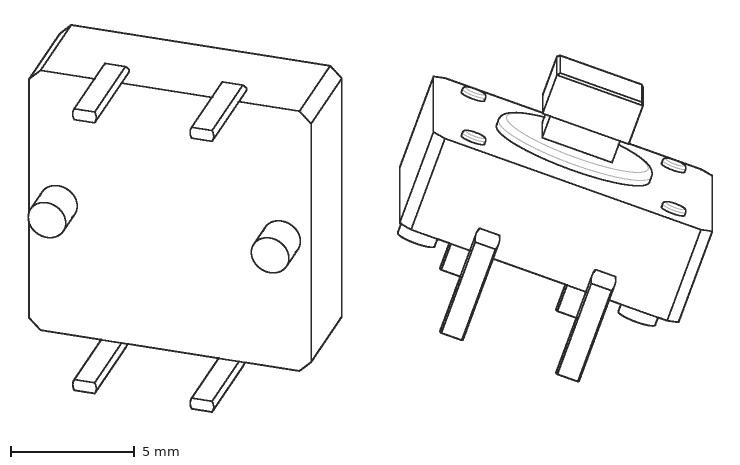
import cadquery as cq

body_size = 12.0
body_corner = 0.5
overall_height = 13.0
overall_depth = 10.8

terminal_length = 3.5
body_depth = 4.0
back_y = -overall_depth / 2 + terminal_length
face_y = back_y + body_depth
cap_top_y = overall_depth / 2

collar_diameter = 6.6
collar_height = 0.5
collar_round = 0.25
stud_diameter = 1.0
stud_height = 0.25
stud_round = 0.1
stud_offset = 4.3

cap_size = 3.7
cap_depth = 1.8
cap_chamfer = 0.1
stem_size = 3.0

peg_diameter = 1.6
peg_length = 1.5
peg_offset = 4.75

terminal_width = 1.0
terminal_thickness = (overall_height - body_size) / 2
terminal_offset = 2.5
terminal_overlap = 1.0
terminal_side_bulge = 0.06


def block(size, start_y, end_y):
    """Centred square block spanning start_y to end_y."""
    return cq.Workplane("XY").box(size, end_y - start_y, size).translate((0, (start_y + end_y) / 2, 0))


def disc(diameter, start_y, length, x=0, z=0):
    """Cylinder along +Y from start_y."""
    axis_start = cq.Vector(x, start_y, z)
    return cq.Workplane(obj=cq.Solid.makeCylinder(diameter / 2, length, axis_start, cq.Vector(0, 1, 0)))


def make_terminal(x):
    """Upper terminal with bowed narrow sides and a 45-degree sloped inner end."""
    inner_z = body_size / 2
    outer_z = overall_height / 2
    tip_y = -overall_depth / 2
    end_y = back_y + terminal_overlap
    mid_z = (inner_z + outer_z) / 2
    half_width = terminal_width / 2
    half_flat = half_width - terminal_side_bulge
    bar = (
        cq.Workplane("XZ", origin=(x, tip_y, 0))
        .moveTo(-half_flat, inner_z)
        .lineTo(half_flat, inner_z)
        .threePointArc((half_width, mid_z), (half_flat, outer_z))
        .lineTo(-half_flat, outer_z)
        .threePointArc((-half_width, mid_z), (-half_flat, inner_z))
        .close()
        .extrude(tip_y - end_y)
    )
    slope_cut = (
        cq.Workplane("YZ", origin=(x, 0, 0))
        .moveTo(end_y, inner_z)
        .lineTo(end_y, outer_z)
        .lineTo(end_y - terminal_thickness, outer_z)
        .close()
        .extrude(terminal_width, both=True)
    )
    return bar.cut(slope_cut)


result = block(body_size, back_y, face_y).edges("|Y").chamfer(body_corner)

collar = disc(collar_diameter, face_y, collar_height).faces(">Y").edges().fillet(collar_round)
stem = block(stem_size, face_y, cap_top_y - cap_depth)
cap = block(cap_size, cap_top_y - cap_depth, cap_top_y).faces(">Y").edges().chamfer(cap_chamfer)
result = result.union(collar).union(stem).union(cap)

for x in (-stud_offset, stud_offset):
    for z in (-stud_offset, stud_offset):
        stud = disc(stud_diameter, face_y, stud_height, x, z).faces(">Y").edges().fillet(stud_round)
        result = result.union(stud)

for x in (-peg_offset, peg_offset):
    result = result.union(disc(peg_diameter, back_y - peg_length, peg_length, x))

for x in (-terminal_offset, terminal_offset):
    terminal = make_terminal(x)
    result = result.union(terminal).union(terminal.mirror("XY"))